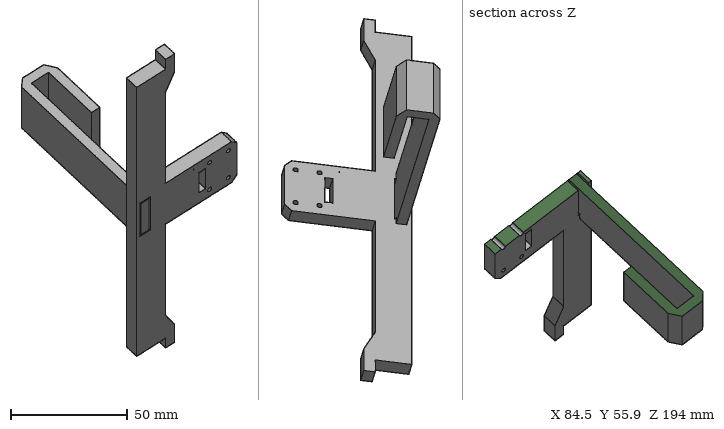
import cadquery as cq

total_height = 194.0
total_width = 84.5
total_depth = 55.9

rail_thickness = 7.0
rail_depth = 16.1
lip_depth = 5.0
lip_rise = 6.5
lip_length = 12.0
lip_slope_length = 10.0

plate_height = 27.5
plate_chamfer = 3.1
screw_hole_diameter = 2.1
screw_row_inset = 4.8
screw_spacing_y = 10.5
screw_spacing_z = 18.0
window_inset = 17.7
window_width = 3.5
window_height = 13.4
pinhole_diameter = 0.2
pinhole_inset = 24.0
pinhole_z = 10.9

arm_thickness = 4.7
arm_front_y = 2.3
arm_gap = 9.5
return_length = 33.8
corner_chamfer = 3.5
return_corner_length = 5.2
tenon_clearance = 0.5
mortise_height = 22.1

rail_x = total_width - rail_thickness
half_height = total_height / 2
arm_back_y = arm_front_y + arm_thickness
return_front_y = arm_back_y + arm_gap
return_back_y = return_front_y + arm_thickness
tenon_height = mortise_height - 2 * tenon_clearance


def box_between(x_range, y_range, height):
    """Box over the given X and Y ranges, centred on Z = 0."""
    length = x_range[1] - x_range[0]
    depth = y_range[1] - y_range[0]
    return cq.Workplane("XY").box(length, depth, height, centered=(False, False, True)).translate(
        (x_range[0], y_range[0], 0)
    )


def make_rail():
    """Upright rail whose two ends carry a lip on the rear side."""
    lip_back_y = rail_depth + lip_depth
    shoulder_z = half_height - lip_rise
    lip_bottom_z = half_height - lip_length
    slope_end_z = lip_bottom_z - lip_slope_length
    upper_half = [
        (0, shoulder_z),
        (rail_depth, shoulder_z),
        (rail_depth, half_height),
        (lip_back_y, half_height),
        (lip_back_y, lip_bottom_z),
        (rail_depth, slope_end_z),
    ]
    lower_half = [(y, -z) for y, z in reversed(upper_half)]
    profile = cq.Workplane("YZ", origin=(rail_x, 0, 0)).polyline(upper_half + lower_half).close()
    return profile.extrude(rail_thickness)


def make_plate():
    """Side plate with chamfered free corners, four screw holes, a window and a pinhole."""
    plate = box_between((rail_x, total_width), (0, total_depth), plate_height)
    plate = plate.edges("|X and >Y").chamfer(plate_chamfer)

    screw_centre_y = total_depth - screw_row_inset - screw_spacing_y / 2
    screw_holes = (
        cq.Workplane("YZ", origin=(rail_x, screw_centre_y, 0))
        .rarray(screw_spacing_y, screw_spacing_z, 2, 2)
        .circle(screw_hole_diameter / 2)
        .extrude(rail_thickness)
    )
    window_back_y = total_depth - window_inset
    window = box_between(
        (rail_x, total_width), (window_back_y - window_width, window_back_y), window_height
    )
    pinhole = (
        cq.Workplane("YZ", origin=(rail_x, total_depth - pinhole_inset, pinhole_z))
        .circle(pinhole_diameter / 2)
        .extrude(rail_thickness)
    )
    return plate.cut(screw_holes).cut(window).cut(pinhole)


def make_bracket():
    """Rail and side plate in one piece, with a mortise for the hook arm."""
    mortise = box_between(
        (rail_x, total_width),
        (arm_front_y - tenon_clearance, arm_back_y + tenon_clearance),
        mortise_height,
    )
    return make_rail().union(make_plate()).cut(mortise)


def make_hook():
    """J-shaped arm that stands on the rail and reaches through it with a tenon."""
    outline = [
        (rail_x, arm_front_y),
        (corner_chamfer, arm_front_y),
        (0, arm_front_y + corner_chamfer),
        (0, return_back_y - corner_chamfer),
        (return_corner_length, return_back_y),
        (return_length, return_back_y),
        (return_length, return_front_y),
        (arm_thickness, return_front_y),
        (arm_thickness, arm_back_y),
        (rail_x, arm_back_y),
    ]
    arm = cq.Workplane("XY").polyline(outline).close().extrude(plate_height / 2, both=True)
    tenon = box_between((rail_x, total_width), (arm_front_y, arm_back_y), tenon_height)
    return arm.union(tenon)


bracket = make_bracket()
hook = make_hook()

result = cq.Compound.makeCompound([bracket.val(), hook.val()])